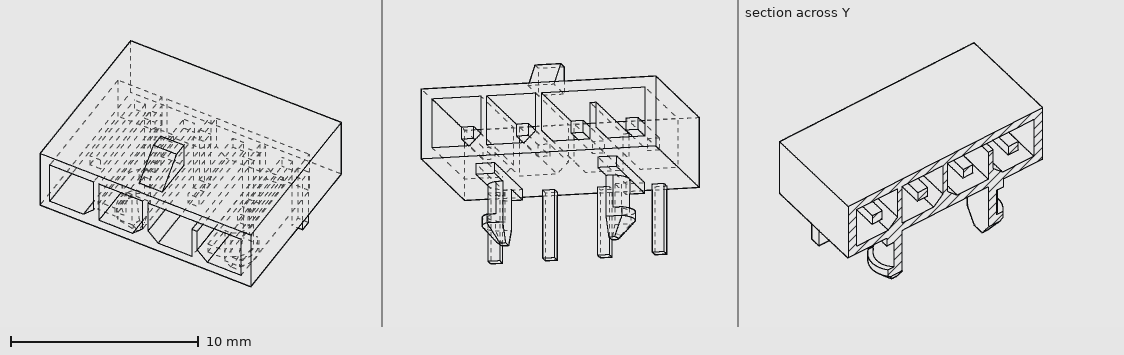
import cadquery as cq

body_width = 12.85
body_depth = 9.91
body_height = 3.83

contact_count = 4
contact_span = 9.0
pitch = contact_span / (contact_count - 1)
cavity_side = 2.67
cavity_depth = 7.45
key_corner = 0.62
shared_wall_height = 1.99

pin_side = 0.65
pin_tip_inset = 2.57
pin_back_inset = 0.72
pin_tail_length = 3.73

latch_width = 1.41
latch_height = 1.49
latch_front = 0.59
latch_back = 2.94
latch_flat = 0.8

rail_inner = 2.83
rail_width = 1.03
rail_length = 6.41
rail_height = 0.58

peg_y = 4.63
peg_half_width = 1.0
shaft_corner = 0.37
head_reach = 1.34
head_corner = 0.87
head_top = -2.34
head_bottom = -2.81
tip_shoulder = -3.68
tip_bottom = -3.8
shoulder_reach = 0.57
shoulder_corner = 0.39
tip_half_width = 0.36
tip_reach = 0.41
tip_corner = 0.32

taper = (peg_half_width - tip_half_width) / (head_bottom - tip_bottom)
shoulder_half_width = peg_half_width - taper * (head_bottom - tip_shoulder)

contact_positions = [index * pitch - contact_span / 2 for index in range(contact_count)]
cavity_middle = body_height / 2
cavity_floor = cavity_middle - cavity_side / 2
cavity_top = cavity_middle + cavity_side / 2


def box(x_min, x_max, y_min, y_max, z_min, z_max):
    """Box between the given limits."""
    size = (x_max - x_min, y_max - y_min, z_max - z_min)
    return cq.Workplane("XY").box(*size, centered=False).translate((x_min, y_min, z_min))


def cavity(x, key_side):
    """Square cavity with one lower corner cut off; key_side is +1 for right, -1 for left."""
    keyed = x + key_side * cavity_side / 2
    plain = x - key_side * cavity_side / 2
    outline = [
        (plain, cavity_floor),
        (keyed - key_side * key_corner, cavity_floor),
        (keyed, cavity_floor + key_corner),
        (keyed, cavity_top),
        (plain, cavity_top),
    ]
    return cq.Workplane("XZ").polyline(outline).close().extrude(-cavity_depth)


def shared_opening():
    """Gap above the low wall that joins the last two cavities."""
    left, right = contact_positions[-2:]
    wall_top = cavity_floor + shared_wall_height
    return box(left, right, 0, cavity_depth, wall_top, cavity_top)


def pin(x):
    """Right-angle square pin."""
    half = pin_side / 2
    tail_back = body_depth - pin_back_inset
    pin_top = cavity_middle + half
    contact = box(x - half, x + half, pin_tip_inset, tail_back, cavity_middle - half, pin_top)
    tail = box(x - half, x + half, tail_back - pin_side, tail_back, -pin_tail_length, pin_top)
    return contact.union(tail)


def latch():
    """Ramp that rises from the front to a short flat."""
    profile = [
        (latch_front, body_height),
        (latch_back, body_height),
        (latch_back, body_height + latch_height),
        (latch_back - latch_flat, body_height + latch_height),
    ]
    return cq.Workplane("YZ").polyline(profile).close().extrude(latch_width / 2, both=True)


def peg_section(z, half_width, corner, reach):
    """D-shaped wire with a flat inner face and a bowed outer face."""
    section = (
        cq.Workplane("XY", origin=(rail_inner, peg_y, z))
        .moveTo(0, -half_width)
        .lineTo(corner, -half_width)
        .threePointArc((reach, 0), (corner, half_width))
        .lineTo(0, half_width)
        .close()
    )
    return section.val()


def peg_segment(upper, lower):
    """Straight-sided solid between two peg sections."""
    return cq.Workplane(cq.Solid.makeLoft([upper, lower], True))


def rail_with_peg():
    """Rail and snap peg on the +X side."""
    rail_front = (body_depth - rail_length) / 2
    rail = box(
        rail_inner,
        rail_inner + rail_width,
        rail_front,
        rail_front + rail_length,
        -rail_height,
        0,
    )
    shaft_size = (peg_half_width, shaft_corner, rail_width)
    head_size = (peg_half_width, head_corner, head_reach)
    shoulder_size = (shoulder_half_width, shoulder_corner, shoulder_reach)
    tip_size = (tip_half_width, tip_corner, tip_reach)
    shoulder = peg_section(tip_shoulder, *shoulder_size)
    shaft = peg_segment(peg_section(-rail_height, *shaft_size), peg_section(head_top, *shaft_size))
    head_end = peg_section(head_bottom, *head_size)
    head = peg_segment(peg_section(head_top, *head_size), head_end)
    cone = peg_segment(head_end, shoulder)
    nose = peg_segment(shoulder, peg_section(tip_bottom, *tip_size))
    return rail.union(shaft).union(head).union(cone).union(nose)


result = box(-body_width / 2, body_width / 2, 0, body_depth, 0, body_height)

for x in contact_positions:
    result = result.cut(cavity(x, 1 if x < 0 else -1))
result = result.cut(shared_opening())

for x in contact_positions:
    result = result.union(pin(x))

result = result.union(latch())
right_rail = rail_with_peg()
result = result.union(right_rail).union(right_rail.mirror("YZ")).clean()